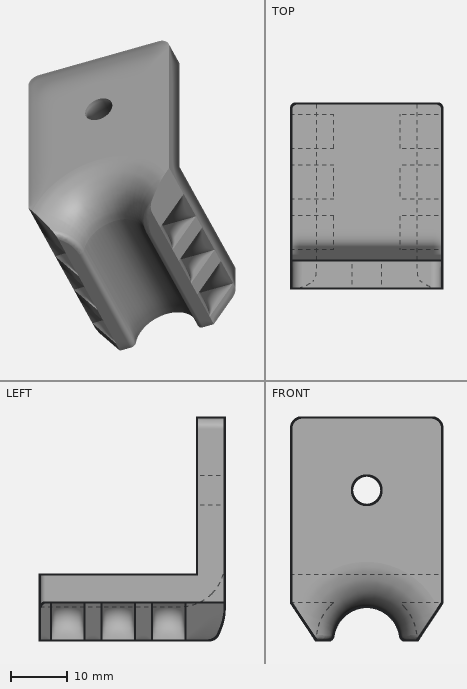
import cadquery as cq
import math

width = 27.0
depth = 33.0
height = 39.8
thickness = 5.0

saddle_height = 6.8
foot_half_width = 9.0
base_top = saddle_height + thickness

bore_radius = 6.0
mouth_radius = 8.0
foot_round = 1.0

wall_corner_radius = 2.0
base_corner_radius = 1.0

hole_diameter = 5.2
hole_above_base = 15.0
hole_height = base_top + hole_above_base

groove_count = 3
groove_width = 6.0
groove_pitch = 9.0
first_groove_start = 7.0
groove_floor_radius = foot_half_width


def along_y(start):
    """Sketch plane facing -Y at Y = start: local X and Y are the part's X and Z."""
    return cq.Workplane("XZ", origin=(0, start, 0))


def make_base():
    """Base plate with the tapered saddle block under it."""
    outline = [
        (-foot_half_width, 0),
        (foot_half_width, 0),
        (width / 2, saddle_height),
        (width / 2, base_top),
        (-width / 2, base_top),
        (-width / 2, saddle_height),
    ]
    block = along_y(0).polyline(outline).close().extrude(-depth)
    rounded_plan = (
        cq.Workplane("XY")
        .rect(width, 2 * depth)
        .extrude(base_top)
        .edges("|Z")
        .fillet(base_corner_radius)
    )
    return block.intersect(rounded_plan)


def make_wall():
    """Upright wall with rounded top corners and a through hole."""
    wall_height = height - saddle_height
    wall = (
        along_y(0)
        .center(0, saddle_height + wall_height / 2)
        .rect(width, wall_height)
        .extrude(-thickness)
        .edges("|Y and >Z")
        .fillet(wall_corner_radius)
    )
    hole = along_y(0).center(0, hole_height).circle(hole_diameter / 2).extrude(-thickness)
    return wall.cut(hole)


def make_bore():
    """Bore that flares to the wall face along a quarter circle."""
    mouth_outer = bore_radius + mouth_radius
    arc_offset = mouth_radius * math.sqrt(0.5)
    return (
        cq.Workplane("XY")
        .moveTo(0, 0)
        .lineTo(mouth_outer, 0)
        .threePointArc(
            (mouth_outer - arc_offset, mouth_radius - arc_offset),
            (bore_radius, mouth_radius),
        )
        .lineTo(bore_radius, depth)
        .lineTo(0, depth)
        .close()
        .revolve(360, (0, 0, 0), (0, 1, 0))
    )


def round_inner_feet(body):
    """Round the bottom edges on both sides of the bore and its flared mouth."""
    reach = foot_half_width - foot_round
    selector = cq.selectors.BoxSelector(
        (-reach, 0, -foot_round / 2), (reach, depth - foot_round, foot_round / 2)
    )
    return body.edges(selector).fillet(foot_round)


def make_groove(start):
    """Strap groove: all of the saddle block outside the round groove floor."""
    slab = (
        along_y(start)
        .center(0, saddle_height / 2)
        .rect(width, saddle_height)
        .extrude(-groove_width)
    )
    core = along_y(start).circle(groove_floor_radius).extrude(-groove_width)
    return slab.cut(core)


result = make_base().union(make_wall()).cut(make_bore())
result = round_inner_feet(result)
for index in range(groove_count):
    result = result.cut(make_groove(first_groove_start + index * groove_pitch))